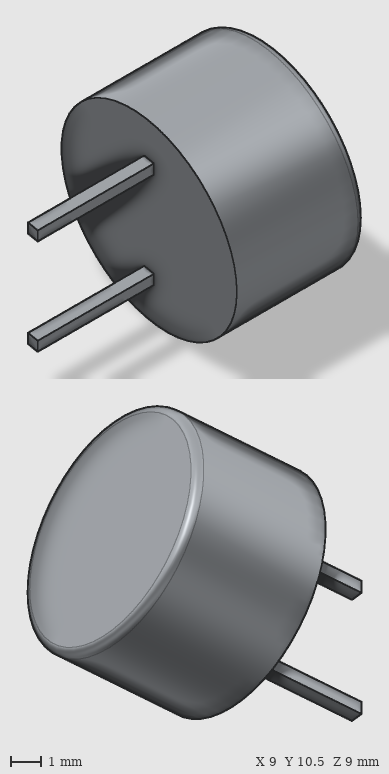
import cadquery as cq

body_diameter = 9.0
body_length = 5.5
rim_radius = 0.3

pin_width = 0.5
pin_length = 5.0
pin_pitch = 5.0


def make_body():
    """Round body with the rim of its far face rounded."""
    cylinder = cq.Workplane("XZ").circle(body_diameter / 2).extrude(-body_length)
    return cylinder.faces(">Y").edges().fillet(rim_radius)


def make_pin(z_center):
    """Square pin standing on the pin face at the given height."""
    return (
        cq.Workplane("XZ")
        .center(0, z_center)
        .rect(pin_width, pin_width)
        .extrude(pin_length)
    )


result = make_body()
for side in (-1, 1):
    result = result.union(make_pin(side * pin_pitch / 2))